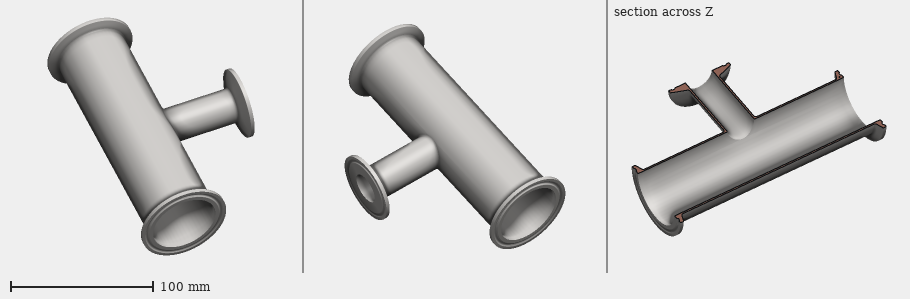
import cadquery as cq
import math

run_length = 171.5
run_outer_dia = 50.7
run_bore_dia = 47.5
run_rim_dia = 64.0

overall_width = 111.3
branch_reach = overall_width - run_rim_dia / 2
branch_outer_dia = 25.4
branch_bore_dia = 22.1
branch_rim_dia = 50.4

rim_width = 2.7
rim_round = 0.3
back_angle = 20.0
neck_round = 1.4
groove_inset = 3.8
groove_half_width = 1.4
groove_depth = 0.9
groove_lip_round = 0.5

saddle_round = 1.5


def gasket_groove(rim_dia):
    """Ring with an arc section that cuts the gasket groove into the face at Z = 0."""
    middle = rim_dia / 2 - groove_inset
    return (
        cq.Workplane("XZ")
        .moveTo(middle - groove_half_width, 0)
        .threePointArc((middle, groove_depth), (middle + groove_half_width, 0))
        .close()
        .revolve(360, (0, 0, 0), (0, 1, 0))
    )


def ferrule(tube_dia, rim_dia, length):
    """Unbored tube along Z with a conical-backed, grooved rim whose end face is at Z = 0."""
    tube_radius = tube_dia / 2
    rim_radius = rim_dia / 2
    cone_length = (rim_radius - tube_radius) * math.tan(math.radians(back_angle))
    neck_z = rim_width + cone_length
    blank = (
        cq.Workplane("XZ")
        .moveTo(0, 0)
        .lineTo(rim_radius, 0)
        .lineTo(rim_radius, rim_width)
        .lineTo(tube_radius, neck_z)
        .lineTo(tube_radius, length)
        .lineTo(0, length)
        .close()
        .revolve(360, (0, 0, 0), (0, 1, 0))
    )
    blank = blank.cut(gasket_groove(rim_dia))
    blank = blank.faces("%TORUS").edges("<Z").fillet(groove_lip_round)
    blank = blank.faces("%CONE").edges(">Z").fillet(neck_round)
    return blank.faces("%CONE").edges("<Z").fillet(rim_round)


def on_left_end(body):
    return body.rotate((0, 0, 0), (0, 1, 0), 90).translate((-run_length / 2, 0, 0))


def on_right_end(body):
    return on_left_end(body).mirror("YZ")


def on_branch_end(body):
    return body.rotate((0, 0, 0), (1, 0, 0), 90).translate((0, branch_reach, 0))


run_half = ferrule(run_outer_dia, run_rim_dia, run_length / 2)
branch = ferrule(branch_outer_dia, branch_rim_dia, branch_reach)
run = on_left_end(run_half).union(on_right_end(run_half))
tee = run.union(on_branch_end(branch))

saddle_zone = cq.selectors.BoxSelector(
    (-branch_outer_dia, run_outer_dia / 4, -branch_outer_dia),
    (branch_outer_dia, run_outer_dia / 2 + saddle_round, branch_outer_dia),
)
tee = tee.edges(saddle_zone).fillet(saddle_round)

run_bore = cq.Workplane("YZ").circle(run_bore_dia / 2).extrude(run_length / 2, both=True)
branch_bore = cq.Workplane("XZ").circle(branch_bore_dia / 2).extrude(-branch_reach)
result = tee.cut(run_bore).cut(branch_bore)